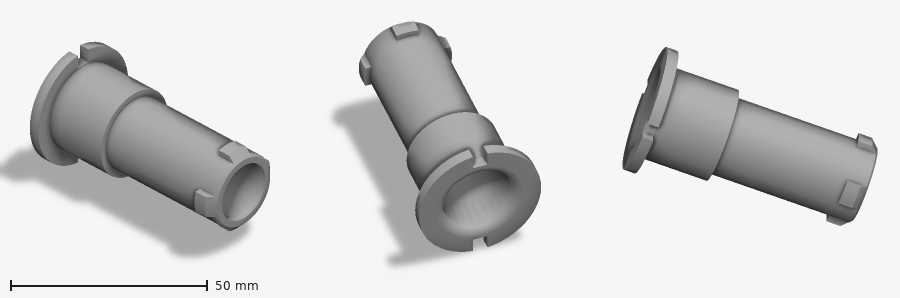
import cadquery as cq
import math

length = 59.5
flange_thickness = 3.0
collar_end = 21.0
tab_length = 5.9

flange_diameter = 33.0
collar_diameter = 24.5
tube_diameter = 20.6
tab_diameter = 23.9

notch_width = 3.9
notch_floor_radius = 12.5
tab_width = 6.05
tab_chamfer = 2.2

mouth_diameter = 23.6
mouth_round = 2.4
bore_diameter = 16.0
lead_in_angle = 10.0


def cylinder(diameter, start, end):
    """Solid cylinder about the X axis between two axial positions."""
    return cq.Workplane("YZ", origin=(start, 0, 0)).circle(diameter / 2).extrude(end - start)


def tab_ring():
    """Chamfered disc from which the four latch tabs are taken."""
    return cylinder(tab_diameter, length - tab_length, length).faces(">X").chamfer(tab_chamfer)


def latch_tabs():
    """Tabs at the top, bottom and both sides, with parallel flanks."""
    plane = cq.Workplane("YZ", origin=(length - tab_length, 0, 0))
    upright_bar = plane.rect(tab_width, tab_diameter).extrude(tab_length)
    level_bar = plane.rect(tab_diameter, tab_width).extrude(tab_length)
    return tab_ring().intersect(upright_bar.union(level_bar))


def bore():
    """Revolved bore whose mouth round runs tangent into the lead-in cone."""
    mouth_radius = mouth_diameter / 2
    bore_radius = bore_diameter / 2
    taper = math.radians(lead_in_angle)

    def round_point(angle):
        """Axial position and radius on the round, turned inward from the flange face."""
        return (
            mouth_round * (1 - math.cos(angle)),
            mouth_radius - mouth_round * math.sin(angle),
        )

    round_sweep = math.pi / 2 - taper
    cone_start, cone_radius = round_point(round_sweep)
    cone_end = cone_start + (cone_radius - bore_radius) / math.tan(taper)
    return (
        cq.Workplane("XY")
        .moveTo(0, 0)
        .lineTo(0, mouth_radius)
        .threePointArc(round_point(round_sweep / 2), (cone_start, cone_radius))
        .lineTo(cone_end, bore_radius)
        .lineTo(length, bore_radius)
        .lineTo(length, 0)
        .close()
        .revolve(360, (0, 0, 0), (1, 0, 0))
    )


def flange_notches():
    """Opposed notches at the top and bottom of the flange."""
    notch_height = flange_diameter / 2 - notch_floor_radius
    notch_centre = notch_floor_radius + notch_height / 2
    return (
        cq.Workplane("YZ")
        .pushPoints([(0, notch_centre), (0, -notch_centre)])
        .rect(notch_width, notch_height)
        .extrude(flange_thickness)
    )


tube_chamfer = tab_chamfer - (tab_diameter - tube_diameter) / 2
tube = cylinder(tube_diameter, 0, length).faces(">X").chamfer(tube_chamfer)

flange = cylinder(flange_diameter, 0, flange_thickness)
collar = cylinder(collar_diameter, 0, collar_end)
body = flange.union(collar).union(tube).union(latch_tabs())

result = body.cut(bore()).cut(flange_notches())